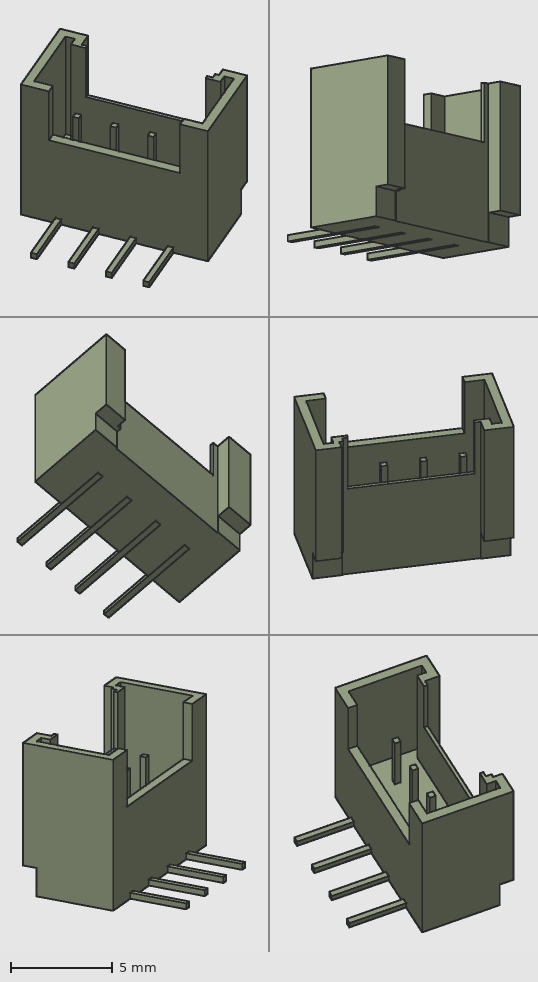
import cadquery as cq

length = 10.0
depth = 5.0
height = 8.0
wall = 0.5

floor_height = 2.0
cavity_depth = 3.5
channel_width = 0.5

rear_inner_y = wall + cavity_depth
rear_wall = 0.2
rear_outer_y = rear_inner_y + rear_wall

foot_height = 1.5
foot_rear_y = 4.25

sill_height = 5.0
post_width = 1.5
lip_end = 1.8
notched_post_width = 1.3
notch_depth = 0.5

pin_size = 0.32
pin_count = 4
pin_pitch = 2.0
first_pin_x = 2.0
pin_y = 2.4
pin_top = 5.0
pin_reach = 3.1


def block(x0, x1, y0, y1, z0, z1):
    """Axis-aligned box between two opposite corners."""
    box = cq.Workplane("XY").box(x1 - x0, y1 - y0, z1 - z0, centered=False)
    return box.translate((x0, y0, z0))


def make_pin(center_x):
    """Right-angle pin: a leg along the base and an upright post."""
    left = center_x - pin_size / 2
    right = center_x + pin_size / 2
    rear = pin_y + pin_size / 2
    leg = block(left, right, -pin_reach, rear, 0, pin_size)
    upright = block(left, right, rear - pin_size, rear, 0, pin_top)
    return leg.union(upright)


def cut_cavity(body):
    """Main cavity plus a channel into each rear corner post."""
    body = body.cut(block(wall, length - wall, wall, rear_inner_y, floor_height, height))
    for x0 in (wall, length - wall - channel_width):
        channel = block(x0, x0 + channel_width, rear_inner_y, depth - wall, floor_height, height)
        body = body.cut(channel)
    return body


def cut_rear(body):
    """Shortened post feet, recess behind the rear wall, and rear opening between the lips."""
    body = body.cut(block(0, length, foot_rear_y, depth, 0, foot_height))
    body = body.cut(block(post_width, length - post_width, rear_outer_y, depth, 0, height))
    body = body.cut(block(lip_end, length - lip_end, rear_inner_y, depth, sill_height, height))
    return body


def cut_post_notch(body):
    """Full-height notch in the inner rear corner of the +X post only."""
    notch_start = length - post_width
    notch_end = length - notched_post_width
    return body.cut(block(notch_start, notch_end, depth - notch_depth, depth, 0, height))


def make_housing(pins):
    body = block(0, length, 0, depth, 0, height)
    body = cut_cavity(body)
    body = cut_rear(body)
    body = body.cut(block(post_width, length - post_width, 0, wall, sill_height, height))
    body = cut_post_notch(body)
    for pin in pins:
        body = body.cut(pin)
    return body


pins = [make_pin(first_pin_x + i * pin_pitch) for i in range(pin_count)]
housing = make_housing(pins)

result = cq.Compound.makeCompound([*housing.solids().vals(), *[pin.solids().val() for pin in pins]])